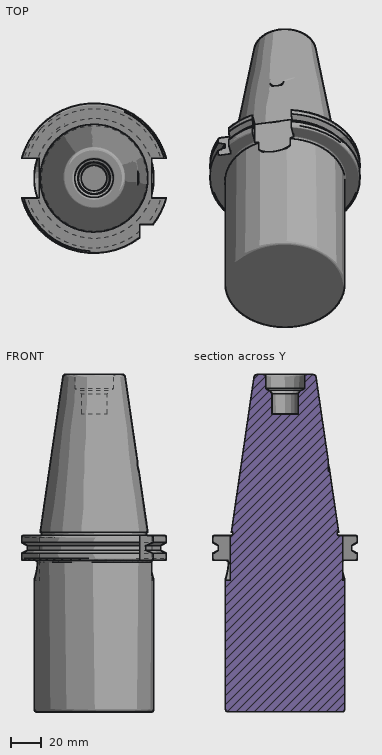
import cadquery as cq
import math

TOTAL_HEIGHT = 219.8
FLANGE_BOTTOM = 98.7
FLANGE_TOP = 115.0
SHANK_BASE = 117.1

EDGE_ROUND = 2.2

BODY_RADIUS = 78.0 / 2
BODY_FLANGE_FILLET = 1.3

FLANGE_RADIUS = 97.5 / 2
FLANGE_EDGE_ROUND = 1.3
GROOVE_DEPTH = 3.5
GROOVE_FLOOR_WIDTH = 3.0
GROOVE_FLANK_ANGLE = 30.0
GROOVE_CENTER = (FLANGE_BOTTOM + FLANGE_TOP) / 2

TAPER_RATIO = 7 / 24
SHANK_BASE_RADIUS = 70.0 / 2
NECK_RADIUS = 34.3
NECK_FILLET = 0.9

COUNTERBORE_RADIUS = 12.5
COUNTERBORE_DEPTH = 9.2
MOUTH_ROUND = 1.5
UPPER_FUNNEL_RADIUS = 10.5
UPPER_FUNNEL_DEPTH = 1.0
LOWER_FUNNEL_RADIUS = 10.0
LOWER_FUNNEL_DEPTH = 2.2
INNER_HOLE_RADIUS = 8.4
INNER_HOLE_LENGTH = 13.2

SLOT_WIDTH = 25.7
LEFT_SLOT_FLOOR = 35.5
RIGHT_SLOT_FLOOR = 37.5

NOTCH_X = 29.9
NOTCH_Y = -30.0

SPOT_RADIUS = 4.5
SPOT_FLOOR = 28.3
SPOT_HEIGHT = 161.3


def revolve_about_z(outline):
    """Close a (radius, height) outline and turn it about the Z axis."""
    return outline.close().revolve(360, (0, 0, 0), (0, 1, 0))


def make_body():
    fillet_start = FLANGE_BOTTOM - BODY_FLANGE_FILLET
    fillet_center_radius = BODY_RADIUS + BODY_FLANGE_FILLET
    arc_offset = BODY_FLANGE_FILLET * math.sqrt(0.5)
    body = revolve_about_z(
        cq.Workplane("XZ")
        .lineTo(BODY_RADIUS, 0)
        .lineTo(BODY_RADIUS, fillet_start)
        .threePointArc(
            (fillet_center_radius - arc_offset, fillet_start + arc_offset),
            (fillet_center_radius, FLANGE_BOTTOM),
        )
        .lineTo(0, FLANGE_BOTTOM)
    )
    return body.faces("<Z").edges().fillet(EDGE_ROUND)


def make_flange():
    flange = (
        cq.Workplane("XY")
        .workplane(offset=FLANGE_BOTTOM)
        .circle(FLANGE_RADIUS)
        .extrude(FLANGE_TOP - FLANGE_BOTTOM)
        .edges("%CIRCLE")
        .fillet(FLANGE_EDGE_ROUND)
    )
    floor_radius = FLANGE_RADIUS - GROOVE_DEPTH
    half_floor = GROOVE_FLOOR_WIDTH / 2
    half_mouth = half_floor + GROOVE_DEPTH * math.tan(math.radians(GROOVE_FLANK_ANGLE))
    groove = revolve_about_z(
        cq.Workplane("XZ")
        .moveTo(FLANGE_RADIUS, GROOVE_CENTER - half_mouth)
        .lineTo(floor_radius, GROOVE_CENTER - half_floor)
        .lineTo(floor_radius, GROOVE_CENTER + half_floor)
        .lineTo(FLANGE_RADIUS, GROOVE_CENTER + half_mouth)
    )
    return flange.cut(groove)


def make_shank():
    tip_radius = SHANK_BASE_RADIUS - (TOTAL_HEIGHT - SHANK_BASE) * TAPER_RATIO / 2
    fillet_center_radius = NECK_RADIUS + NECK_FILLET
    fillet_center_height = FLANGE_TOP + NECK_FILLET
    arc_offset = NECK_FILLET * math.sqrt(0.5)
    shank = revolve_about_z(
        cq.Workplane("XZ")
        .moveTo(0, FLANGE_TOP)
        .lineTo(fillet_center_radius, FLANGE_TOP)
        .threePointArc(
            (fillet_center_radius - arc_offset, fillet_center_height - arc_offset),
            (NECK_RADIUS, fillet_center_height),
        )
        .lineTo(NECK_RADIUS, SHANK_BASE)
        .lineTo(SHANK_BASE_RADIUS, SHANK_BASE)
        .lineTo(tip_radius, TOTAL_HEIGHT)
        .lineTo(0, TOTAL_HEIGHT)
    )
    return shank.faces(">Z").edges().fillet(EDGE_ROUND)


def make_bore():
    counterbore_floor = TOTAL_HEIGHT - COUNTERBORE_DEPTH
    ledge = counterbore_floor - UPPER_FUNNEL_DEPTH
    inner_hole_top = ledge - LOWER_FUNNEL_DEPTH
    inner_hole_floor = inner_hole_top - INNER_HOLE_LENGTH
    arc_offset = MOUTH_ROUND * (1 - math.sqrt(0.5))
    return revolve_about_z(
        cq.Workplane("XZ")
        .moveTo(0, TOTAL_HEIGHT)
        .lineTo(COUNTERBORE_RADIUS + MOUTH_ROUND, TOTAL_HEIGHT)
        .threePointArc(
            (COUNTERBORE_RADIUS + arc_offset, TOTAL_HEIGHT - arc_offset),
            (COUNTERBORE_RADIUS, TOTAL_HEIGHT - MOUTH_ROUND),
        )
        .lineTo(COUNTERBORE_RADIUS, counterbore_floor)
        .lineTo(UPPER_FUNNEL_RADIUS, ledge)
        .lineTo(LOWER_FUNNEL_RADIUS, ledge)
        .lineTo(INNER_HOLE_RADIUS, inner_hole_top)
        .lineTo(INNER_HOLE_RADIUS, inner_hole_floor)
        .lineTo(0, inner_hole_floor)
    )


def make_drive_slot(floor_distance, side):
    """Round-bottomed slot, open at the flange top; side is -1 or +1 along X."""
    half_width = SLOT_WIDTH / 2
    return (
        cq.Workplane("YZ")
        .workplane(offset=side * floor_distance)
        .moveTo(-half_width, FLANGE_TOP)
        .lineTo(-half_width, FLANGE_BOTTOM)
        .threePointArc((0, FLANGE_BOTTOM - half_width), (half_width, FLANGE_BOTTOM))
        .lineTo(half_width, FLANGE_TOP)
        .close()
        .extrude(side * FLANGE_RADIUS)
    )


def make_notch():
    """Square-cornered cut through the flange, opening toward +X and -Y."""
    return (
        cq.Workplane("XY")
        .workplane(offset=FLANGE_BOTTOM)
        .moveTo(NOTCH_X, NOTCH_Y)
        .lineTo(FLANGE_RADIUS, NOTCH_Y)
        .lineTo(FLANGE_RADIUS, -FLANGE_RADIUS)
        .lineTo(NOTCH_X, -FLANGE_RADIUS)
        .close()
        .extrude(FLANGE_TOP - FLANGE_BOTTOM)
    )


def make_spot_face():
    return (
        cq.Workplane("YZ")
        .workplane(offset=SPOT_FLOOR)
        .center(0, SPOT_HEIGHT)
        .circle(SPOT_RADIUS)
        .extrude(SHANK_BASE_RADIUS - SPOT_FLOOR)
    )


result = make_body().union(make_flange()).union(make_shank())
result = result.cut(make_bore())
result = result.cut(make_drive_slot(LEFT_SLOT_FLOOR, -1))
result = result.cut(make_drive_slot(RIGHT_SLOT_FLOOR, 1))
result = result.cut(make_notch())
result = result.cut(make_spot_face())